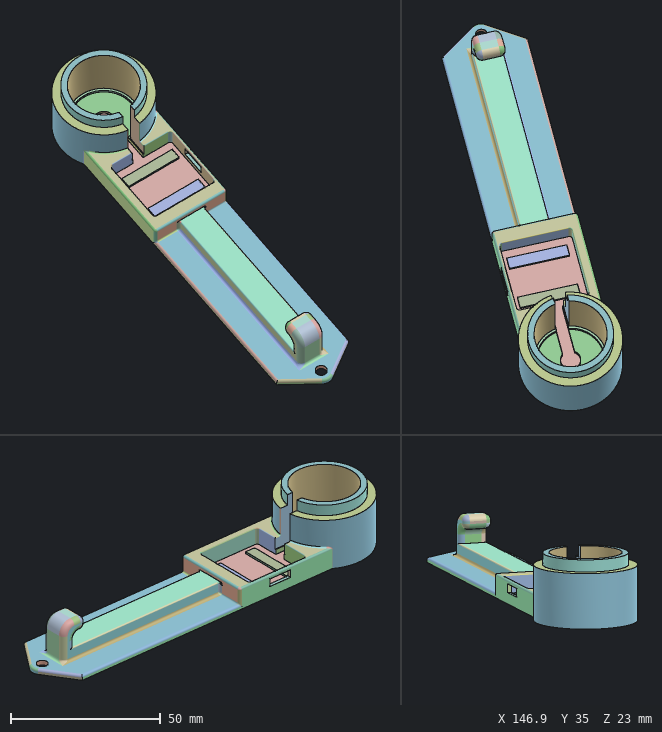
import cadquery as cq
import math

CUP_RADIUS = 17.5
CUP_HEIGHT = 19.0
COLLAR_RADIUS = 14.4
TOTAL_HEIGHT = 23.0
BORE_RADIUS = 12.2
LEDGE_HEIGHT = 4.0
WELL_RADIUS = 11.3
WELL_FLOOR = 3.1

TOTAL_LENGTH = 146.9
TIP_X = TOTAL_LENGTH - CUP_RADIUS
ARM_HALF_WIDTH = 14.8
BLOCK_END_X = 50.4
BLOCK_HEIGHT = 8.2
PLATE_HEIGHT = 1.9
POINT_START_X = 120.1
TIP_RADIUS = 4.0
TIP_HOLE_DIAMETER = 4.0
TIP_HOLE_X = 125.0
PLATE_ROUND = 0.9
BLOCK_ROUND = 0.7
BLOCK_CORNER = 1.0
FOOT_ROUND = 1.0
WALL_FOOT_ROUND = 0.51
FOOT_TOP = PLATE_HEIGHT + FOOT_ROUND
JOINT_ROUND = 0.51
RIM_ROUND = 0.3

POCKET_X = (19.7, 45.1)
POCKET_Y = (-11.5, 13.5)
POCKET_FLOOR = 2.0
POCKET_CORNER = 1.0
PAD_SIZE = (4.0, 20.7)
PAD_HEIGHT = 0.7
PAD_CENTERS_X = (25.0, 40.0)
PAD_CENTER_Y = 1.3
WINDOW_LENGTH = 9.1
WINDOW_Z = (4.0, 6.9)

KEYHOLE_RADIUS = 3.4
CHANNEL_WIDTH = 4.1
SLOT_WIDTH = 4.7

RIB_HALF_WIDTH = 5.0
RIB_HEIGHT = 6.6
RIB_END_X = 120.0
HOOK_THICKNESS = 5.0
HOOK_TIP_X = 110.2
HOOK_TOP = 16.9
HOOK_OUTER_BEND = 5.0
HOOK_INNER_BEND = 2.4
HOOK_ROUND = 2.0
RIB_ROUND = 0.5

TOLERANCE = 0.01


def box(x_range, y_range, z_range):
    """Box between the given pairs of limits."""
    (x0, x1), (y0, y1), (z0, z1) = x_range, y_range, z_range
    return cq.Workplane("XY").box(x1 - x0, y1 - y0, z1 - z0, centered=False).translate((x0, y0, z0))


def disc(radius, bottom, top):
    """Upright cylinder on the cup axis."""
    return cq.Workplane("XY").workplane(offset=bottom).circle(radius).extrude(top - bottom)


def make_plate():
    """Thin plate whose two slanted end sides run tangent into a rounded tip."""
    center_x = TIP_X - TIP_RADIUS
    corner_distance = math.hypot(POINT_START_X - center_x, ARM_HALF_WIDTH)
    corner_angle = math.atan2(ARM_HALF_WIDTH, POINT_START_X - center_x)
    tangent_angle = corner_angle - math.acos(TIP_RADIUS / corner_distance)
    tangent_x = center_x + TIP_RADIUS * math.cos(tangent_angle)
    tangent_y = TIP_RADIUS * math.sin(tangent_angle)
    plate = (
        cq.Workplane("XY")
        .moveTo(0, -ARM_HALF_WIDTH)
        .lineTo(POINT_START_X, -ARM_HALF_WIDTH)
        .lineTo(tangent_x, -tangent_y)
        .threePointArc((TIP_X, 0), (tangent_x, tangent_y))
        .lineTo(POINT_START_X, ARM_HALF_WIDTH)
        .lineTo(0, ARM_HALF_WIDTH)
        .close()
        .extrude(PLATE_HEIGHT)
    )
    return plate.faces(">Z").edges("not <X").fillet(PLATE_ROUND)


def make_block():
    """High part of the arm, with rounded upper edges and end corners."""
    block = box((0, BLOCK_END_X), (-ARM_HALF_WIDTH, ARM_HALF_WIDTH), (0, BLOCK_HEIGHT))
    block = block.edges("|Z and >X").fillet(BLOCK_CORNER)
    return block.faces(">Z").edges("not <X").fillet(BLOCK_ROUND)


def make_rib():
    """Square-cornered rib, started inside the block so that the two overlap."""
    rib_y = (-RIB_HALF_WIDTH, RIB_HALF_WIDTH)
    return box((BLOCK_END_X - BLOCK_ROUND, RIB_END_X), rib_y, (0, RIB_HEIGHT))


def make_hook():
    """Hook whose stem stands in the rib end, above the rounded foot of the rib."""
    stem_x = RIB_END_X - HOOK_THICKNESS
    underside = HOOK_TOP - HOOK_THICKNESS
    hook = (
        cq.Workplane("XZ", origin=(0, RIB_HALF_WIDTH, 0))
        .moveTo(stem_x, FOOT_TOP)
        .lineTo(RIB_END_X, FOOT_TOP)
        .lineTo(RIB_END_X, HOOK_TOP - HOOK_OUTER_BEND)
        .radiusArc((RIB_END_X - HOOK_OUTER_BEND, HOOK_TOP), -HOOK_OUTER_BEND)
        .lineTo(HOOK_TIP_X, HOOK_TOP)
        .lineTo(HOOK_TIP_X, underside)
        .lineTo(stem_x - HOOK_INNER_BEND, underside)
        .radiusArc((stem_x, underside - HOOK_INNER_BEND), HOOK_INNER_BEND)
        .close()
        .extrude(2 * RIB_HALF_WIDTH)
    )
    return hook.edges("(not (|Y or <Z)) or <X").fillet(HOOK_ROUND)


def edges_in(body, x_range, y_range, z_range):
    """Edges of the body lying wholly inside the box between the given limits."""
    low, high = zip(x_range, y_range, z_range)
    low = tuple(value - TOLERANCE for value in low)
    high = tuple(value + TOLERANCE for value in high)
    return body.edges(cq.selectors.BoxSelector(low, high, boundingbox=True))


def make_arm():
    """Plate, block, rib and hook; the rib foot is rounded before the rib end is."""
    arm = make_plate().union(make_block())
    arm_y = (-ARM_HALF_WIDTH, ARM_HALF_WIDTH)
    wall_x = (BLOCK_END_X, BLOCK_END_X)
    arm = edges_in(arm, wall_x, arm_y, (PLATE_HEIGHT, PLATE_HEIGHT)).fillet(WALL_FOOT_ROUND)

    arm = arm.union(make_rib())
    rib_x = (BLOCK_END_X, RIB_END_X)
    rib_y = (-RIB_HALF_WIDTH, RIB_HALF_WIDTH)
    arm = edges_in(arm, rib_x, rib_y, (PLATE_HEIGHT, PLATE_HEIGHT + WALL_FOOT_ROUND)).fillet(FOOT_ROUND)
    arm = edges_in(arm, (RIB_END_X, RIB_END_X), rib_y, (FOOT_TOP, RIB_HEIGHT)).edges("|Z").fillet(HOOK_ROUND)
    arm = edges_in(arm, rib_x, rib_y, (RIB_HEIGHT, RIB_HEIGHT)).edges("|X").fillet(RIB_ROUND)
    return arm.union(make_hook())


def make_cup_body():
    """Solid cup with the narrower collar on top."""
    return disc(CUP_RADIUS, 0, CUP_HEIGHT).union(disc(COLLAR_RADIUS, 0, TOTAL_HEIGHT))


def make_cup_hollow():
    """Stepped bore, side slot, and the keyhole channel sunk in the cup floor."""
    bore = disc(BORE_RADIUS, LEDGE_HEIGHT, TOTAL_HEIGHT)
    well = disc(WELL_RADIUS, WELL_FLOOR, TOTAL_HEIGHT)
    slot_y = (-SLOT_WIDTH / 2, SLOT_WIDTH / 2)
    slot = box((0, POCKET_X[0]), slot_y, (LEDGE_HEIGHT, TOTAL_HEIGHT))
    keyhole = disc(KEYHOLE_RADIUS, POCKET_FLOOR, TOTAL_HEIGHT)
    channel_y = (-CHANNEL_WIDTH / 2, CHANNEL_WIDTH / 2)
    channel = box((0, POCKET_X[0]), channel_y, (POCKET_FLOOR, TOTAL_HEIGHT))
    return bore.union(well).union(slot).union(keyhole).union(channel)


def make_pocket():
    """Pocket space that leaves the pads standing, with the window through its +Y wall."""
    pocket = box(POCKET_X, POCKET_Y, (POCKET_FLOOR, BLOCK_HEIGHT)).edges("|Z").fillet(POCKET_CORNER)
    middle_x = sum(POCKET_X) / 2
    window_x = (middle_x - WINDOW_LENGTH / 2, middle_x + WINDOW_LENGTH / 2)
    window = box(window_x, (0, 2 * ARM_HALF_WIDTH), WINDOW_Z)
    for x in PAD_CENTERS_X:
        pad = cq.Workplane("XY", origin=(x, PAD_CENTER_Y, POCKET_FLOOR)).rect(*PAD_SIZE).extrude(PAD_HEIGHT)
        pocket = pocket.cut(pad)
    return pocket.union(window)


def joint_edges(body):
    """Edges where the block runs into the side of the cup."""
    start_x = math.sqrt(CUP_RADIUS**2 - ARM_HALF_WIDTH**2)
    side = edges_in(body, (start_x, CUP_RADIUS), (-ARM_HALF_WIDTH, ARM_HALF_WIDTH), (0, BLOCK_HEIGHT))
    return side.edges("not <Z")


def rim_edges(body):
    """Upper edges of the pocket and of the channel leading into it."""
    rim_x = (CUP_RADIUS + RIM_ROUND, POCKET_X[1])
    return edges_in(body, rim_x, POCKET_Y, (BLOCK_HEIGHT, BLOCK_HEIGHT))


body = make_arm().union(make_cup_body())
body = joint_edges(body).fillet(JOINT_ROUND)

tip_hole = cq.Workplane("XY").center(TIP_HOLE_X, 0).circle(TIP_HOLE_DIAMETER / 2).extrude(PLATE_HEIGHT)
body = body.cut(make_cup_hollow()).cut(make_pocket()).cut(tip_hole)
result = rim_edges(body).fillet(RIM_ROUND)